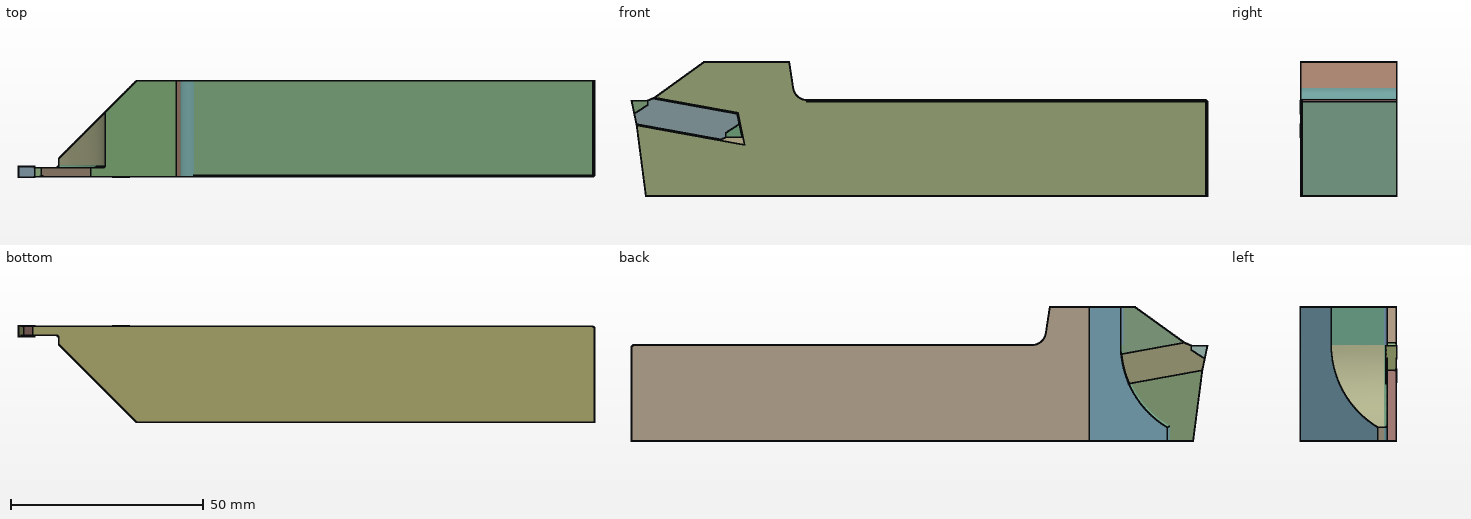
import cadquery as cq
import math

LENGTH = 150.0
WIDTH = 25.0
SHANK_HEIGHT = 25.0
HEAD_HEIGHT = 35.0
SHANK_CHAMFER = 0.5
SHANK_CHAMFER_START_X = 45.6
TOE_X = 3.8
HEAD_TOP_START_X = 18.9
HEAD_TOP_END_X = 41.1
HEAD_FOOT_X = 42.6
HEAD_FILLET = 3.6

BLADE_THICKNESS = 2.4
BLADE_ROOT_FILLET = 0.8
RELIEF_WALL_X = 22.6
RELIEF_RADIUS = 25.0
RELIEF_TOE_X = 10.5
BEVEL_OFFSET = 5.7

TIP_Z = 24.9
INSERT_END_X = 28.8
INSERT_END_Z = 15.3
RAKE_LENGTH = 4.2
CREST_X = 6.0
CREST_Z = 25.6
SEAT_X = 1.4
SEAT_Z = 18.5
TIP_SIDE_Z = 21.5
TIP_ROOT_DROP = 1.2
TIP_OVERHANG = 0.2
TIP_BACK_Y = 2.7
INSERT_SIDE_Y = 0.0
INSERT_CHAMFER = 0.3
POCKET_CLEARANCE = 0.3


def prism(points, y_start, y_end):
    """Extrude an XZ outline between two Y positions."""
    return cq.Workplane("XZ", origin=(0, y_end, 0)).polyline(points).close().extrude(y_end - y_start)


def opposite(point):
    """Turn an XZ point half a turn about the insert centre."""
    return (INSERT_END_X - point[0], TIP_Z + INSERT_END_Z - point[1])


tip = (0, TIP_Z)
rake_end = (RAKE_LENGTH, TIP_Z)
crest = (CREST_X, CREST_Z)
seat = (SEAT_X, SEAT_Z)
tip_side = (SEAT_X * (TIP_Z - TIP_SIDE_Z) / (TIP_Z - SEAT_Z), TIP_SIDE_Z)
seat_slope = (opposite(crest)[1] - SEAT_Z) / (opposite(crest)[0] - SEAT_X)


def make_insert():
    half_outline = [seat, tip, rake_end, crest]
    outline = half_outline + [opposite(point) for point in half_outline]
    insert = prism(outline, INSERT_SIDE_Y, BLADE_THICKNESS)
    for start, end in ((seat, opposite(crest)), (crest, opposite(seat))):
        middle = ((start[0] + end[0]) / 2, INSERT_SIDE_Y, (start[1] + end[1]) / 2)
        insert = insert.edges(cq.selectors.NearestToPointSelector(middle)).chamfer(INSERT_CHAMFER)
    tip_outline = [tip, rake_end, (RAKE_LENGTH, TIP_Z - TIP_ROOT_DROP), tip_side]
    for points in (tip_outline, [opposite(point) for point in tip_outline]):
        insert = insert.union(prism(points, -TIP_OVERHANG, TIP_BACK_Y))
    return insert


def holder_blank():
    toe_slope = (SEAT_X - TOE_X) / SEAT_Z
    blank = prism(
        [
            (TOE_X, 0),
            (LENGTH, 0),
            (LENGTH, SHANK_HEIGHT),
            (HEAD_FOOT_X, SHANK_HEIGHT),
            (HEAD_TOP_END_X, HEAD_HEIGHT),
            (HEAD_TOP_START_X, HEAD_HEIGHT),
            crest,
            (TOE_X + toe_slope * CREST_Z, CREST_Z),
        ],
        0,
        WIDTH,
    )
    foot = cq.selectors.NearestToPointSelector((HEAD_FOOT_X, WIDTH / 2, SHANK_HEIGHT))
    blank = blank.edges(foot).fillet(HEAD_FILLET)
    blank = blank.faces(">X").edges("<Y or >Z").chamfer(SHANK_CHAMFER)
    return blank.cut(shank_edge_cutter())


def shank_edge_cutter():
    """Wedge that chamfers the top edge of the shank on the cutting side."""
    return (
        cq.Workplane("YZ", origin=(SHANK_CHAMFER_START_X, 0, 0))
        .moveTo(0, SHANK_HEIGHT - SHANK_CHAMFER)
        .lineTo(0, SHANK_HEIGHT)
        .lineTo(SHANK_CHAMFER, SHANK_HEIGHT)
        .close()
        .extrude(LENGTH - SHANK_CHAMFER_START_X)
    )


def bevel_cutter():
    return (
        cq.Workplane("XY")
        .moveTo(0, BLADE_THICKNESS)
        .lineTo(BEVEL_OFFSET + BLADE_THICKNESS, BLADE_THICKNESS)
        .lineTo(BEVEL_OFFSET + WIDTH, WIDTH)
        .lineTo(0, WIDTH)
        .close()
        .extrude(HEAD_HEIGHT)
    )


def relief_cutter():
    """Space behind the blade: flat wall, concave arc, then a short drop to the base."""
    arc_centre_x = RELIEF_WALL_X - RELIEF_RADIUS

    def drop_at(x):
        return math.sqrt(RELIEF_RADIUS ** 2 - (x - arc_centre_x) ** 2)

    middle_x = (RELIEF_WALL_X + RELIEF_TOE_X) / 2
    return (
        cq.Workplane("XZ", origin=(0, WIDTH, 0))
        .moveTo(0, 0)
        .lineTo(RELIEF_TOE_X, 0)
        .lineTo(RELIEF_TOE_X, SHANK_HEIGHT - drop_at(RELIEF_TOE_X))
        .threePointArc((middle_x, SHANK_HEIGHT - drop_at(middle_x)), (RELIEF_WALL_X, SHANK_HEIGHT))
        .lineTo(RELIEF_WALL_X, HEAD_HEIGHT)
        .lineTo(0, HEAD_HEIGHT)
        .close()
        .extrude(WIDTH - BLADE_THICKNESS)
        .faces("<Y")
        .edges("not (<X or <Z or >Z)")
        .fillet(BLADE_ROOT_FILLET)
    )


def insert_pocket():
    top_rear = opposite(seat)
    end_slope = (INSERT_END_X - top_rear[0]) / (INSERT_END_Z - top_rear[1])
    floor_z = SEAT_Z + seat_slope * (INSERT_END_X - SEAT_X)
    rear_floor_x = INSERT_END_X + end_slope * (floor_z - INSERT_END_Z) + POCKET_CLEARANCE
    return prism(
        [
            (0, SEAT_Z - seat_slope * SEAT_X),
            (rear_floor_x, SEAT_Z + seat_slope * (rear_floor_x - SEAT_X)),
            (top_rear[0] + POCKET_CLEARANCE, top_rear[1] + seat_slope * POCKET_CLEARANCE),
            crest,
            (0, HEAD_HEIGHT),
        ],
        0,
        TIP_BACK_Y,
    )


def make_holder():
    holder = holder_blank().cut(bevel_cutter()).cut(relief_cutter())
    return holder.cut(insert_pocket())


holder = make_holder()
insert = make_insert()
result = cq.Compound.makeCompound([holder.solids().val(), insert.solids().val()])